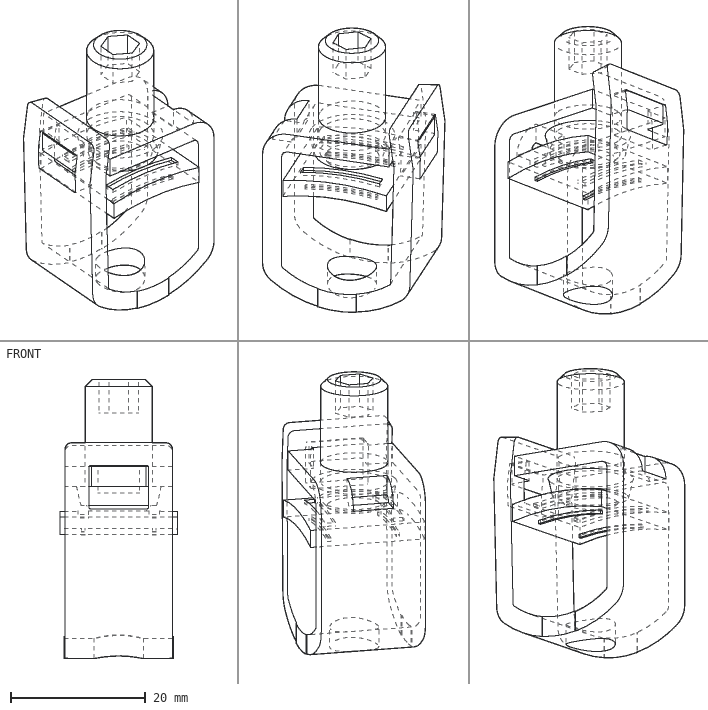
import cadquery as cq
import math


STRAP_WIDTH = 16.0
STRAP_THICKNESS = 3.0
BACK_OUTER_Y = 11.45
PLATE_TOP_Z = 28.55
PLATE_END_Y = -8.2
BEND_INNER_RADIUS = 1.0
BOWL_CENTER_Y = -0.15
BOWL_INNER_RADIUS = 13.72
BOWL_CORNER_INNER_RADIUS = 0.5
FRONT_BEND_Y = -9.0
FRONT_BEND_Z = 25.55
WALL_LEAN = 1.5
LIP_LENGTH = 6.18
LIP_TILT = 7.8
LIP_CORNER_RADIUS = 1.0

TAB_WIDTH = 8.13
TAB_END_Y = -11.7
TAB_CORNER_RADIUS = 0.5
TAB_ROOT_RADIUS = 0.25
WINDOW_WIDTH = 8.85
WINDOW_BOTTOM_Z = 22.22
WINDOW_TOP_Z = 28.7
WINDOW_CORNER_RADIUS = 0.25

RELIEF_WIDTH = 6.15
RELIEF_FRONT_Y = 7.63
BOWL_HOLE_RADIUS = 3.65
SIDE_PAD_LENGTH = 5.95
SIDE_PAD_HEIGHT = 0.12

SCREW_TOP_Z = 41.45
SCREW_DIAMETER = 10.0
SCREW_CHAMFER = 1.05
HEX_ACROSS_FLATS = 5.0
HEX_DEPTH = 5.0
FOOT_TOP_RADIUS = 6.35
FOOT_RIM_RADIUS = 6.2
FOOT_RIM_HEIGHT = 0.25
FOOT_MIDDLE_RADIUS = 5.95
FOOT_LOWER_RADIUS = 5.6
FOOT_LOWER_Z = 22.7
FOOT_TIP_TOP_RADIUS = 4.75
FOOT_TIP_RADIUS = 4.02
FOOT_TIP_Z = 21.9

PAD_WIDTH = 17.5
PAD_LENGTH = 16.1
PAD_THICKNESS = 2.55
PAD_TOP_RADIUS = 38.55
GROOVE_LENGTH = 12.27
GROOVE_WIDTH = 1.58
GROOVE_DEPTH = 0.5
GROOVE_X = 5.25
RIB_INSET = 0.55

SCREW_RADIUS = SCREW_DIAMETER / 2
BACK_INNER_Y = BACK_OUTER_Y - STRAP_THICKNESS
PLATE_BOTTOM_Z = PLATE_TOP_Z - STRAP_THICKNESS
BOWL_OUTER_RADIUS = BOWL_INNER_RADIUS + STRAP_THICKNESS
BOWL_CENTER_Z = BOWL_OUTER_RADIUS
PADDED_WIDTH = STRAP_WIDTH + 2 * SIDE_PAD_HEIGHT


def shifted(point, distance, angle):
    """Move a (y, z) point by a distance along a direction given in radians."""
    return (point[0] + distance * math.cos(angle), point[1] + distance * math.sin(angle))


def bowl_crossing(point, angle, radius):
    """Where a ray from a (y, z) point inside the bowl circle of this radius meets the circle."""
    dy = point[0] - BOWL_CENTER_Y
    dz = point[1] - BOWL_CENTER_Z
    along = dy * math.cos(angle) + dz * math.sin(angle)
    reach = math.sqrt(along ** 2 - dy ** 2 - dz ** 2 + radius ** 2) - along
    return shifted(point, reach, angle)


WALL_DOWN = -math.pi / 2 + math.radians(WALL_LEAN)
WALL_OUT = math.pi + math.radians(WALL_LEAN)
LIP_OUT = math.pi - math.radians(LIP_TILT)

INNER_BEND = (FRONT_BEND_Y, FRONT_BEND_Z)
OUTER_BEND = shifted(
    INNER_BEND,
    STRAP_THICKNESS / math.cos((WALL_OUT - LIP_OUT) / 2),
    (WALL_OUT + LIP_OUT) / 2,
)
INNER_LIP = shifted(INNER_BEND, LIP_LENGTH, LIP_OUT - math.pi / 2)
OUTER_LIP = shifted(INNER_LIP, STRAP_THICKNESS, LIP_OUT)
INNER_BACK_TOP = (BACK_INNER_Y, PLATE_BOTTOM_Z)
OUTER_BACK_TOP = (BACK_OUTER_Y, PLATE_TOP_Z)
INNER_BACK_CORNER = bowl_crossing((BACK_INNER_Y, BOWL_CENTER_Z), -math.pi / 2, BOWL_INNER_RADIUS)
OUTER_BACK_CORNER = bowl_crossing((BACK_OUTER_Y, BOWL_CENTER_Z), -math.pi / 2, BOWL_OUTER_RADIUS)
INNER_FRONT_CORNER = bowl_crossing(INNER_BEND, WALL_DOWN, BOWL_INNER_RADIUS)
OUTER_FRONT_CORNER = bowl_crossing(OUTER_BEND, WALL_DOWN, BOWL_OUTER_RADIUS)


def strap_profile():
    """Side outline of the strap in the YZ plane, with every corner sharp."""
    return (
        cq.Workplane("YZ")
        .moveTo(PLATE_END_Y, PLATE_BOTTOM_Z)
        .lineTo(*INNER_BACK_TOP)
        .lineTo(*INNER_BACK_CORNER)
        .threePointArc((BOWL_CENTER_Y, STRAP_THICKNESS), INNER_FRONT_CORNER)
        .lineTo(*INNER_BEND)
        .lineTo(*INNER_LIP)
        .lineTo(*OUTER_LIP)
        .lineTo(*OUTER_BEND)
        .lineTo(*OUTER_FRONT_CORNER)
        .threePointArc((BOWL_CENTER_Y, 0), OUTER_BACK_CORNER)
        .lineTo(*OUTER_BACK_TOP)
        .lineTo(PLATE_END_Y, PLATE_TOP_Z)
        .close()
    )


def round_strap_corner(strap, point, radius):
    """Fillet the edge along X that passes through a (y, z) point."""
    edge = cq.selectors.NearestToPointSelector((0, point[0], point[1]))
    return strap.edges(edge).fillet(radius)


def box_between(x_size, y_range, z_range):
    """Box centred on X = 0 that spans the given Y and Z ranges."""
    return cq.Workplane("XY").box(
        x_size, y_range[1] - y_range[0], z_range[1] - z_range[0], centered=(True, False, False)
    ).translate((0, y_range[0], z_range[0]))


def make_side_trim():
    """Layers outside the strap width, with a gap that leaves the side pads of the bowl standing."""
    y_range = (-2 * BACK_OUTER_Y, 2 * BACK_OUTER_Y)
    layers = box_between(PADDED_WIDTH, y_range, (0, SCREW_TOP_Z))
    core = box_between(STRAP_WIDTH, y_range, (0, SCREW_TOP_Z))
    half_length = SIDE_PAD_LENGTH / 2
    pad_gap = box_between(
        PADDED_WIDTH,
        (BOWL_CENTER_Y - half_length, BOWL_CENTER_Y + half_length),
        (0, BOWL_CENTER_Z),
    )
    return layers.cut(core).cut(pad_gap)


def make_strap():
    """Bent strap with rounded bends and lip corners."""
    strap = strap_profile().extrude(PADDED_WIDTH / 2, both=True).cut(make_side_trim())
    for inner, outer, inner_radius in (
        (INNER_BACK_TOP, OUTER_BACK_TOP, BEND_INNER_RADIUS),
        (INNER_BACK_CORNER, OUTER_BACK_CORNER, BOWL_CORNER_INNER_RADIUS),
        (INNER_FRONT_CORNER, OUTER_FRONT_CORNER, BOWL_CORNER_INNER_RADIUS),
    ):
        strap = round_strap_corner(strap, inner, inner_radius)
        strap = round_strap_corner(strap, outer, inner_radius + STRAP_THICKNESS)
    for x in (-STRAP_WIDTH / 2, STRAP_WIDTH / 2):
        corner = cq.selectors.NearestToPointSelector(
            (x, (INNER_LIP[0] + OUTER_LIP[0]) / 2, (INNER_LIP[1] + OUTER_LIP[1]) / 2)
        )
        strap = strap.edges(corner).fillet(LIP_CORNER_RADIUS)
    return strap


def make_tab():
    """Tongue at the free end of the plate, with rounded end corners and root fillets."""
    z_range = (PLATE_BOTTOM_Z, PLATE_TOP_Z)
    tab = box_between(TAB_WIDTH, (TAB_END_Y, PLATE_END_Y), z_range)
    tab = tab.edges("|Z and <Y").fillet(TAB_CORNER_RADIUS)
    root_y = PLATE_END_Y - TAB_ROOT_RADIUS
    root = box_between(TAB_WIDTH + 2 * TAB_ROOT_RADIUS, (root_y, PLATE_END_Y), z_range)
    for side in (-1, 1):
        hollow = (
            cq.Workplane("XY", origin=(side * (TAB_WIDTH / 2 + TAB_ROOT_RADIUS), root_y, PLATE_BOTTOM_Z))
            .circle(TAB_ROOT_RADIUS)
            .extrude(STRAP_THICKNESS)
        )
        root = root.cut(hollow)
    return tab.union(root)


def make_window():
    """Cutter for the opening through the front wall that the tab passes into."""
    front_y = FRONT_BEND_Y - 2 * STRAP_THICKNESS
    window = box_between(WINDOW_WIDTH, (front_y, PLATE_END_Y), (WINDOW_BOTTOM_Z, WINDOW_TOP_Z))
    return window.edges("|Y").fillet(WINDOW_CORNER_RADIUS)


def make_bracket():
    """Strap with its tab, window, bend relief, screw hole and bowl hole."""
    relief_bottom_z = PLATE_BOTTOM_Z - BEND_INNER_RADIUS
    relief = box_between(RELIEF_WIDTH, (RELIEF_FRONT_Y, BACK_OUTER_Y), (relief_bottom_z, PLATE_TOP_Z))
    plate_bottom = cq.Workplane("XY", origin=(0, 0, PLATE_BOTTOM_Z))
    screw_hole = plate_bottom.circle(SCREW_RADIUS).extrude(STRAP_THICKNESS)
    bowl_hole = cq.Workplane("XY").circle(BOWL_HOLE_RADIUS).extrude(BOWL_CENTER_Z)
    return (
        make_strap()
        .cut(make_window())
        .union(make_tab())
        .cut(relief)
        .cut(screw_hole)
        .cut(bowl_hole)
    )


def make_screw():
    """Socket screw with a chamfered shank above the plate and a foot below it."""
    rim_bottom_z = PLATE_BOTTOM_Z - FOOT_RIM_HEIGHT
    middle_z = (rim_bottom_z + FOOT_LOWER_Z) / 2
    foot = (
        cq.Workplane("XZ")
        .moveTo(0, PLATE_BOTTOM_Z)
        .lineTo(FOOT_TOP_RADIUS, PLATE_BOTTOM_Z)
        .lineTo(FOOT_RIM_RADIUS, rim_bottom_z)
        .threePointArc((FOOT_MIDDLE_RADIUS, middle_z), (FOOT_LOWER_RADIUS, FOOT_LOWER_Z))
        .lineTo(FOOT_TIP_TOP_RADIUS, FOOT_LOWER_Z)
        .lineTo(FOOT_TIP_RADIUS, FOOT_TIP_Z)
        .lineTo(0, FOOT_TIP_Z)
        .close()
        .revolve(360, (0, 0, 0), (0, 1, 0))
    )
    shank = (
        cq.Workplane("XY", origin=(0, 0, PLATE_BOTTOM_Z))
        .circle(SCREW_RADIUS)
        .extrude(SCREW_TOP_Z - PLATE_BOTTOM_Z)
        .faces(">Z")
        .chamfer(SCREW_CHAMFER)
    )
    hex_socket = (
        cq.Workplane("XY", origin=(0, 0, SCREW_TOP_Z - HEX_DEPTH))
        .polygon(6, HEX_ACROSS_FLATS, circumscribed=True)
        .extrude(HEX_DEPTH)
        .rotate((0, 0, 0), (0, 0, 1), 30)
    )
    return foot.union(shank).cut(hex_socket)


def curved_plate(x_size, length, top_z, top_radius, thickness):
    """Plate with concentric cylindrical top and bottom, crowned about an axis along X."""
    ring = (
        cq.Workplane("YZ")
        .center(0, top_z - top_radius)
        .circle(top_radius)
        .circle(top_radius - thickness)
        .extrude(x_size / 2, both=True)
    )
    limits = box_between(x_size, (-length / 2, length / 2), (0, SCREW_TOP_Z))
    return ring.intersect(limits)


def make_pad():
    """Curved pad with two pressed grooves, each standing out as a rib underneath."""
    pad = curved_plate(PAD_WIDTH, PAD_LENGTH, FOOT_TIP_Z, PAD_TOP_RADIUS, PAD_THICKNESS)
    groove = curved_plate(GROOVE_WIDTH, GROOVE_LENGTH, FOOT_TIP_Z, PAD_TOP_RADIUS, GROOVE_DEPTH)
    rib = curved_plate(
        GROOVE_WIDTH - 2 * RIB_INSET,
        GROOVE_LENGTH - 2 * RIB_INSET,
        FOOT_TIP_Z - PAD_THICKNESS,
        PAD_TOP_RADIUS - PAD_THICKNESS,
        GROOVE_DEPTH,
    )
    for x in (-GROOVE_X, GROOVE_X):
        pad = pad.cut(groove.translate((x, 0, 0))).union(rib.translate((x, 0, 0)))
    return pad


bracket = make_bracket()
screw = make_screw()
pad = make_pad()

result = cq.Compound.makeCompound([bracket.val(), screw.val(), pad.val()])